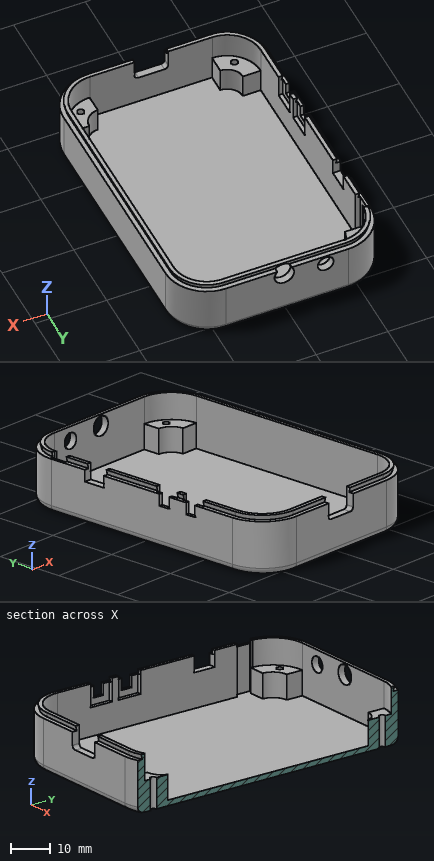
import cadquery as cq
import math


WIDTH = 57.2
LENGTH = 84.7
HEIGHT = 16.0
CORNER_RADIUS = 11.5
BOTTOM_FILLET = 2.0
FLOOR = 1.7
WALL = 2.2

LIP_HEIGHT = 1.35
LIP_INSET = 1.0
LIP_UNDERCUT = 0.3
LEDGE_Z = HEIGHT - LIP_HEIGHT
LIP_TAPER = math.degrees(math.atan2(LIP_UNDERCUT, LIP_HEIGHT))

FITTINGS_X = -0.2

POST_TOP_Z = 8.6
POST_RELIEF_RADIUS = 4.3
SCREW_HOLE_DIAMETER = 1.9
SCREW_SPACING_X = 42.9
SCREW_SPACING_Y = 72.8

SLOT_WIDTH = 9.3
SLOT_BOTTOM_Z = 10.1
SLOT_CORNER_RADIUS = 1.0

END_HOLES = [(5.4, 0.7, 12.8), (4.4, -10.8, 12.0)]

NOTCH_BOTTOM_Z = 11.4
WIDE_NOTCH = (12.9, 19.3)
BUTTON_NOTCHES = [(-9.4, -6.1), (-18.2, -15.2)]
BUTTON_MARGIN = 1.9
INNER_RELIEF = (26.5, 31.5)
INNER_RELIEF_SKIN = 0.85

CAVITY_X = WIDTH / 2 - WALL
CAVITY_Y = LENGTH / 2 - WALL
CORNER_X = WIDTH / 2 - CORNER_RADIUS
CORNER_Y = LENGTH / 2 - CORNER_RADIUS


def rounded_block(half_x, half_y, radius, bottom, top):
    """Upright block centred on Z with rounded vertical edges."""
    block = cq.Workplane("XY").workplane(offset=bottom).rect(2 * half_x, 2 * half_y).extrude(top - bottom)
    return block.edges("|Z").fillet(radius)


def cavity(bottom):
    """Space inside the walls from the given level up to the rim."""
    return rounded_block(CAVITY_X, CAVITY_Y, CORNER_RADIUS - WALL, bottom, HEIGHT)


def shell():
    """Rounded tray with a stepped rim and an undercut lip."""
    body = rounded_block(WIDTH / 2, LENGTH / 2, CORNER_RADIUS, 0, LEDGE_Z)
    body = body.faces("<Z").edges().fillet(BOTTOM_FILLET)
    lip = (
        cq.Workplane("XY", origin=(0, 0, HEIGHT))
        .sketch()
        .rect(WIDTH - 2 * LIP_INSET, LENGTH - 2 * LIP_INSET)
        .vertices()
        .fillet(CORNER_RADIUS - LIP_INSET)
        .finalize()
        .extrude(-LIP_HEIGHT, taper=LIP_TAPER)
    )
    return body.union(lip).cut(cavity(FLOOR))


def corner_posts():
    """Four posts filling the cavity corners, each with a concave inner corner."""
    height = POST_TOP_Z - FLOOR
    floor_plane = cq.Workplane("XY").workplane(offset=FLOOR)
    corners = [(sx * CORNER_X, sy * CORNER_Y) for sx in (-1, 1) for sy in (-1, 1)]
    blocks = (
        floor_plane.rect(WIDTH, LENGTH).extrude(height)
        .cut(floor_plane.rect(2 * CORNER_X, LENGTH).extrude(height))
        .cut(floor_plane.rect(WIDTH, 2 * CORNER_Y).extrude(height))
    )
    reliefs = floor_plane.pushPoints(corners).circle(POST_RELIEF_RADIUS).extrude(height)
    return blocks.intersect(cavity(FLOOR)).cut(reliefs)


def screw_holes():
    """Holes through the posts and the floor."""
    return (
        cq.Workplane("XY", origin=(FITTINGS_X, 0, 0))
        .rect(SCREW_SPACING_X, SCREW_SPACING_Y, forConstruction=True)
        .vertices()
        .circle(SCREW_HOLE_DIAMETER / 2)
        .extrude(POST_TOP_Z)
    )


def front_slot():
    """Open-topped slot through the -Y wall with rounded lower corners."""
    slot = cq.Workplane("XY").box(
        SLOT_WIDTH, WALL, HEIGHT - SLOT_BOTTOM_Z, centered=(True, False, False)
    )
    slot = slot.edges("|Y and <Z").fillet(SLOT_CORNER_RADIUS)
    return slot.translate((FITTINGS_X, -LENGTH / 2, SLOT_BOTTOM_Z))


def end_hole(diameter, x, z):
    """Round hole through the +Y wall."""
    wall_outside = cq.Workplane("XZ", origin=(x, LENGTH / 2, z))
    return wall_outside.circle(diameter / 2).extrude(WALL)


def side_cut(span, bottom, skin=0.0):
    """Open-topped cut in the -X wall, leaving an outer skin of the given thickness."""
    low, high = span
    cut = cq.Workplane("XY").box(WALL - skin, high - low, HEIGHT - bottom, centered=False)
    return cut.translate((-WIDTH / 2 + skin, low, bottom))


result = shell().union(corner_posts()).cut(screw_holes()).cut(front_slot())

for diameter, x, z in END_HOLES:
    result = result.cut(end_hole(diameter, x, z))

result = result.cut(side_cut(WIDE_NOTCH, NOTCH_BOTTOM_Z))
result = result.cut(side_cut(INNER_RELIEF, FLOOR, INNER_RELIEF_SKIN))

for low, high in BUTTON_NOTCHES:
    pocket = (low - BUTTON_MARGIN, high + BUTTON_MARGIN)
    result = result.cut(side_cut((low, high), NOTCH_BOTTOM_Z))
    result = result.cut(side_cut(pocket, NOTCH_BOTTOM_Z - BUTTON_MARGIN, LIP_INSET))